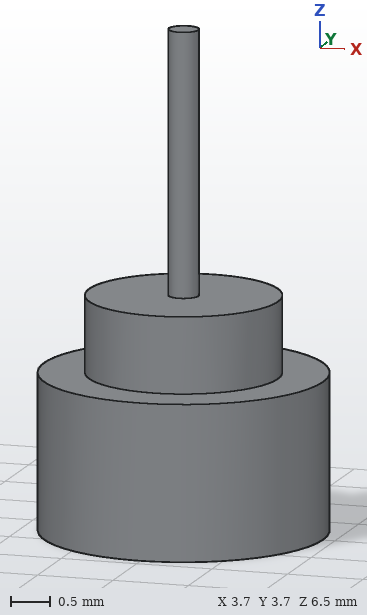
import cadquery as cq

total_height = 6.5
body_diameter = 3.7
body_height = 2.05
neck_diameter = 2.5
neck_height = 1.0
pin_diameter = 0.39

pin_height = total_height - body_height - neck_height


def cylinder(diameter, height, base_z):
    """Upright cylinder on the Z axis, starting at base_z."""
    return cq.Workplane("XY").workplane(offset=base_z).circle(diameter / 2).extrude(height)


body = cylinder(body_diameter, body_height, 0)
neck = cylinder(neck_diameter, neck_height, body_height)
pin = cylinder(pin_diameter, pin_height, body_height + neck_height)

result = body.union(neck).union(pin)